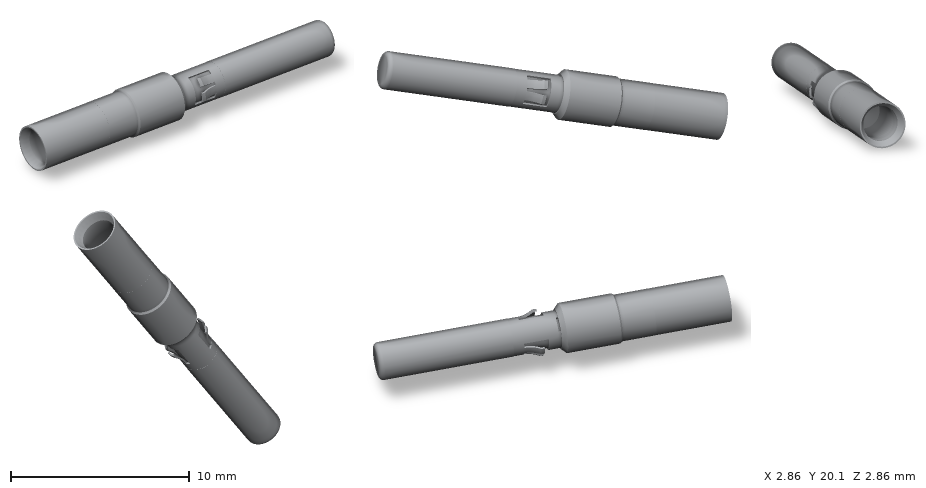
import cadquery as cq
import math


BARREL_DIA = 2.65
NECK_DIA = 2.66
COLLAR_DIA = 2.86
COLLAR_TIP_DIA = 2.30
GROOVE_DIA = 1.91
CLIP_DIA = 2.14
PIN_DIA = 2.16
BORE_DIA = 1.99
MOUTH_DIA = 2.48

BARREL_END = 4.35
COLLAR_START = 6.28
COLLAR_END = 9.72
CLIP_END = 12.48
OVERALL_LENGTH = 20.14

COLLAR_REAR_CHAMFER = (COLLAR_DIA - NECK_DIA) / 2
PIN_TIP_RADIUS = 0.26

MOUTH_DEPTH = 0.48
BORE_DEPTH = 4.35
DRILL_POINT_ANGLE = 118

CLIP_WALL = (CLIP_DIA - GROOVE_DIA) / 2
CLIP_TURN = 24
WINDOW_ANGLES = (CLIP_TURN, CLIP_TURN + 180)
WINDOW_SPAN = 98
WINDOW_START = 10.45
WINDOW_END = 11.87
TONGUE_OFFSET = 19.5
TONGUE_WIDTH = 0.51
TONGUE_THICKNESS = 0.1
TONGUE_ROOT_INSET = 0.01
TONGUE_TIP = 10.75
TONGUE_KNEE = 10.95
TONGUE_OVERLAP = 0.1
TONGUE_ROOT = WINDOW_END + TONGUE_OVERLAP
TONGUE_TIP_RADIUS = 1.33
NOTCH_ANGLE = CLIP_TURN + 90
NOTCH_SPAN = 44
NOTCH_LENGTH = 0.12

AXIS_START = (0, 0, 0)
AXIS_END = (0, 1, 0)


def revolve_full(profile):
    """Revolve a closed half profile, drawn as radius against Y, about the Y axis."""
    return profile.close().revolve(360, AXIS_START, AXIS_END)


def turn(shape, angle):
    """Turn a shape about Y so that +X moves toward +Z by the given angle."""
    return shape.rotate(AXIS_START, AXIS_END, -angle)


def ring_sector(inner_radius, outer_radius, start, end, middle_angle, span):
    """Part of a ring about Y, spread evenly around the middle angle."""
    section = (
        cq.Workplane("XY")
        .moveTo(inner_radius, start)
        .lineTo(outer_radius, start)
        .lineTo(outer_radius, end)
        .lineTo(inner_radius, end)
        .close()
    )
    sector = section.revolve(span, AXIS_START, AXIS_END)
    first_edge = sector.rotate(AXIS_START, AXIS_END, -span / 2)
    return turn(first_edge, middle_angle)


def make_body():
    """Solid turned body, from the wire barrel to the rounded pin tip."""
    collar_radius = COLLAR_DIA / 2
    collar_tip_radius = COLLAR_TIP_DIA / 2
    collar_taper = collar_radius - collar_tip_radius
    pin_radius = PIN_DIA / 2
    profile = (
        cq.Workplane("XY")
        .lineTo(BARREL_DIA / 2, 0)
        .lineTo(BARREL_DIA / 2, BARREL_END)
        .lineTo(NECK_DIA / 2, BARREL_END)
        .lineTo(NECK_DIA / 2, COLLAR_START)
        .lineTo(collar_radius, COLLAR_START + COLLAR_REAR_CHAMFER)
        .lineTo(collar_radius, COLLAR_END - collar_taper)
        .lineTo(collar_tip_radius, COLLAR_END)
        .lineTo(CLIP_DIA / 2, COLLAR_END)
        .lineTo(CLIP_DIA / 2, CLIP_END)
        .lineTo(pin_radius, CLIP_END)
        .lineTo(pin_radius, OVERALL_LENGTH - PIN_TIP_RADIUS)
        .radiusArc((pin_radius - PIN_TIP_RADIUS, OVERALL_LENGTH), -PIN_TIP_RADIUS)
        .lineTo(0, OVERALL_LENGTH)
    )
    return revolve_full(profile)


def make_bore():
    """Wire bore with a flared mouth and a drill point at its bottom."""
    bore_radius = BORE_DIA / 2
    point_length = bore_radius / math.tan(math.radians(DRILL_POINT_ANGLE / 2))
    profile = (
        cq.Workplane("XY")
        .lineTo(MOUTH_DIA / 2, 0)
        .lineTo(bore_radius, MOUTH_DEPTH)
        .lineTo(bore_radius, BORE_DEPTH)
        .lineTo(0, BORE_DEPTH + point_length)
    )
    return revolve_full(profile)


def cut_clip_openings(body):
    """Cut the two windows and the end notch of the clip down to the groove."""
    inner = GROOVE_DIA / 2
    outer = CLIP_DIA / 2 + CLIP_WALL
    for angle in WINDOW_ANGLES:
        body = body.cut(ring_sector(inner, outer, WINDOW_START, WINDOW_END, angle, WINDOW_SPAN))
    notch_end = COLLAR_END + NOTCH_LENGTH
    return body.cut(ring_sector(inner, outer, COLLAR_END, notch_end, NOTCH_ANGLE, NOTCH_SPAN))


def make_tongue(angle):
    """Spring tongue that leaves the pin end of a window and curves outward to its tip."""
    root_outer = CLIP_DIA / 2 - TONGUE_ROOT_INSET
    root_inner = root_outer - TONGUE_THICKNESS
    tip_inner = TONGUE_TIP_RADIUS - TONGUE_THICKNESS
    flare_rise = TONGUE_TIP_RADIUS - root_outer
    flare_length = WINDOW_END - TONGUE_KNEE
    flare_radius = (flare_rise**2 + flare_length**2) / (2 * flare_rise)
    profile = (
        cq.Workplane("XY")
        .moveTo(root_inner, TONGUE_ROOT)
        .lineTo(root_outer, TONGUE_ROOT)
        .lineTo(root_outer, WINDOW_END)
        .radiusArc((TONGUE_TIP_RADIUS, TONGUE_KNEE), -flare_radius)
        .lineTo(TONGUE_TIP_RADIUS, TONGUE_TIP)
        .lineTo(tip_inner, TONGUE_TIP)
        .lineTo(tip_inner, TONGUE_KNEE)
        .radiusArc((root_inner, WINDOW_END), flare_radius)
    )
    flared_ring = revolve_full(profile)
    strip = cq.Workplane("XY").box(
        COLLAR_DIA, OVERALL_LENGTH, TONGUE_WIDTH, centered=(False, False, True)
    )
    return turn(flared_ring.intersect(strip), angle)


result = cut_clip_openings(make_body().cut(make_bore()))
for window_angle in WINDOW_ANGLES:
    for offset in (-TONGUE_OFFSET, TONGUE_OFFSET):
        result = result.union(make_tongue(window_angle + offset))